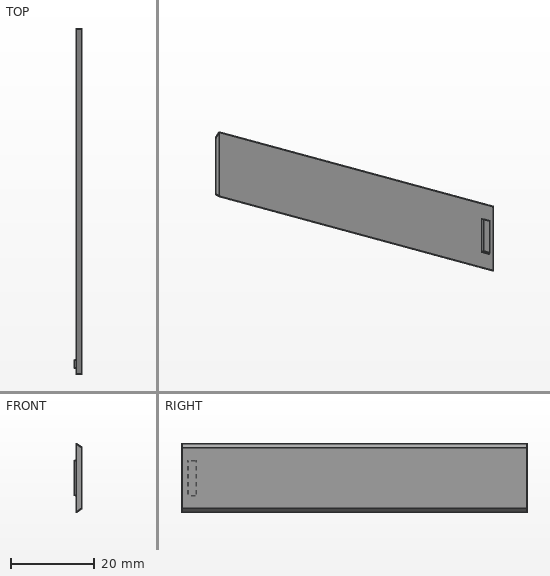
import cadquery as cq

plate_length = 82.8
plate_height = 16.5
plate_thickness = 1.4
long_edge_bevel = 0.95

pad_thickness = 0.5
pad_base_width = 2.1
pad_base_height = 8.5
pad_side_slope = 0.16
pad_end_gap = 1.35


def make_plate():
    """Flat strip along Y with square ends, narrowing in height toward +X."""
    half_height = plate_height / 2
    narrow_half_height = half_height - long_edge_bevel
    outline = [
        (0, -half_height),
        (plate_thickness, -narrow_half_height),
        (plate_thickness, narrow_half_height),
        (0, half_height),
    ]
    return cq.Workplane("XZ").polyline(outline).close().extrude(plate_length / 2, both=True)


def make_pad():
    """Low rectangular pad rising toward -X, with all four sides sloping inward."""
    center_y = -plate_length / 2 + pad_end_gap + pad_base_width / 2
    return (
        cq.Workplane("YZ")
        .center(center_y, 0)
        .rect(pad_base_width, pad_base_height)
        .workplane(offset=-pad_thickness)
        .rect(pad_base_width - 2 * pad_side_slope, pad_base_height - 2 * pad_side_slope)
        .loft(ruled=True)
    )


result = make_plate().union(make_pad())